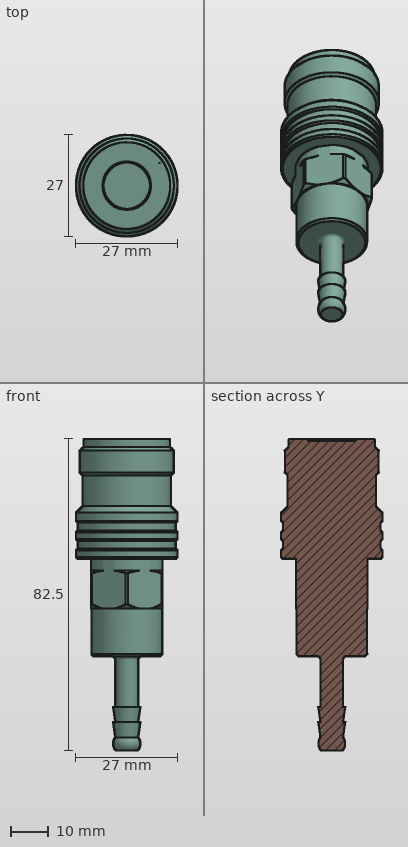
import cadquery as cq
import math

TOTAL_HEIGHT = 82.5

STEM_DIAMETER = 6.1
BARB_DIAMETER = 7.3
TIP_END_DIAMETER = 5.8
TIP_LENGTH = 3.5
TIP_SIDE_HEIGHT = 1.65
BARB_LENGTH = 4.05
BARB_COUNT = 2
STEM_FILLET = 0.9

BODY_DIAMETER = 18.8
BODY_BOTTOM = 24.9
BODY_CHAMFER = 0.6

HEX_ACROSS_FLATS = 19.0
HEX_CORNER_DIAMETER = 21.5
HEX_BOTTOM = 37.5
HEX_BOTTOM_DIAMETER = 19.2
HEX_SHOULDER = 47.6
HEX_SHOULDER_ANGLE = 30.0
HEX_NECK_DIAMETER = 19.3

SLEEVE_BOTTOM = 50.7
RING_DIAMETER = 27.0
GROOVE_DIAMETER = 26.0
RING_CHAMFER = (RING_DIAMETER - GROOVE_DIAMETER) / 2
RING_PITCH = 4.8
RING_LAND = 1.7
GROOVE_LAND = RING_PITCH - RING_LAND - 2 * RING_CHAMFER
GROOVE_COUNT = 2
TOP_RING_LAND = 2.15
NECK_DIAMETER = 23.5
NECK_TOP = 72.85
BAND_DIAMETER = 25.0
BAND_CHAMFER = (BAND_DIAMETER - NECK_DIAMETER) / 2
BAND_TOP = 79.4
LIP_DIAMETER = 23.0
LIP_FILLET = 0.5

RECESS_DIAMETER = 12.8
RECESS_FLOOR_DIAMETER = 12.3
RECESS_DEPTH = 0.5


def make_stem():
    """Hose stem with its rounded tip, barbs and the fillet under the body."""
    stem_radius = STEM_DIAMETER / 2
    barb_radius = BARB_DIAMETER / 2
    profile = (
        cq.Workplane("XZ")
        .lineTo(TIP_END_DIAMETER / 2, 0)
        .threePointArc((barb_radius, TIP_SIDE_HEIGHT), (stem_radius, TIP_LENGTH))
    )
    for index in range(BARB_COUNT):
        barb_top = TIP_LENGTH + (index + 1) * BARB_LENGTH
        profile = profile.lineTo(barb_radius, barb_top).lineTo(stem_radius, barb_top)
    fillet_offset = STEM_FILLET * (1 - math.sqrt(0.5))
    return (
        profile.lineTo(stem_radius, BODY_BOTTOM - STEM_FILLET)
        .threePointArc(
            (stem_radius + fillet_offset, BODY_BOTTOM - fillet_offset),
            (stem_radius + STEM_FILLET, BODY_BOTTOM),
        )
        .lineTo(0, BODY_BOTTOM)
        .close()
        .revolve(360, (0, 0), (0, 1))
    )


def make_body():
    """Plain cylinder with a chamfered lower edge."""
    return (
        cq.Workplane("XY", origin=(0, 0, BODY_BOTTOM))
        .circle(BODY_DIAMETER / 2)
        .extrude(HEX_BOTTOM - BODY_BOTTOM)
        .faces("<Z")
        .chamfer(BODY_CHAMFER)
    )


def make_hex():
    """Hexagon with flats facing X, trimmed by a turned envelope and a round neck."""
    height = SLEEVE_BOTTOM - HEX_BOTTOM
    hex_bar = (
        cq.Workplane("XY", origin=(0, 0, HEX_BOTTOM))
        .polygon(6, HEX_ACROSS_FLATS / math.cos(math.pi / 6))
        .extrude(height)
        .rotate((0, 0, 0), (0, 0, 1), 30)
    )
    corner_radius = HEX_CORNER_DIAMETER / 2
    bottom_radius = HEX_BOTTOM_DIAMETER / 2
    neck_radius = HEX_NECK_DIAMETER / 2
    shoulder_drop = (corner_radius - neck_radius) * math.tan(math.radians(HEX_SHOULDER_ANGLE))
    envelope = (
        cq.Workplane("XZ")
        .moveTo(0, HEX_BOTTOM)
        .lineTo(bottom_radius, HEX_BOTTOM)
        .lineTo(corner_radius, HEX_BOTTOM + corner_radius - bottom_radius)
        .lineTo(corner_radius, HEX_SHOULDER - shoulder_drop)
        .lineTo(neck_radius, HEX_SHOULDER)
        .lineTo(neck_radius, SLEEVE_BOTTOM)
        .lineTo(0, SLEEVE_BOTTOM)
        .close()
        .revolve(360, (0, 0), (0, 1))
    )
    return hex_bar.intersect(envelope)


def make_sleeve():
    """Turned sleeve with grip rings below a neck, a band and a rounded lip."""
    ring_radius = RING_DIAMETER / 2
    groove_radius = GROOVE_DIAMETER / 2
    neck_radius = NECK_DIAMETER / 2
    band_radius = BAND_DIAMETER / 2
    lip_radius = LIP_DIAMETER / 2
    profile = (
        cq.Workplane("XZ")
        .moveTo(0, SLEEVE_BOTTOM)
        .lineTo(groove_radius, SLEEVE_BOTTOM)
        .line(RING_CHAMFER, RING_CHAMFER)
    )
    for _ in range(GROOVE_COUNT):
        profile = (
            profile.line(0, RING_LAND)
            .line(-RING_CHAMFER, RING_CHAMFER)
            .line(0, GROOVE_LAND)
            .line(RING_CHAMFER, RING_CHAMFER)
        )
    return (
        profile.line(0, TOP_RING_LAND)
        .line(neck_radius - ring_radius, ring_radius - neck_radius)
        .lineTo(neck_radius, NECK_TOP)
        .lineTo(band_radius, NECK_TOP + BAND_CHAMFER)
        .lineTo(band_radius, BAND_TOP)
        .lineTo(lip_radius, BAND_TOP + band_radius - lip_radius)
        .lineTo(lip_radius, TOTAL_HEIGHT)
        .lineTo(0, TOTAL_HEIGHT)
        .close()
        .revolve(360, (0, 0), (0, 1))
        .faces(">Z")
        .edges()
        .fillet(LIP_FILLET)
    )


def make_recess():
    """Tapered disc removed from the top face."""
    return (
        cq.Workplane("XY", origin=(0, 0, TOTAL_HEIGHT))
        .circle(RECESS_DIAMETER / 2)
        .workplane(offset=-RECESS_DEPTH)
        .circle(RECESS_FLOOR_DIAMETER / 2)
        .loft()
    )


result = make_stem().union(make_body()).union(make_hex()).union(make_sleeve()).cut(make_recess())